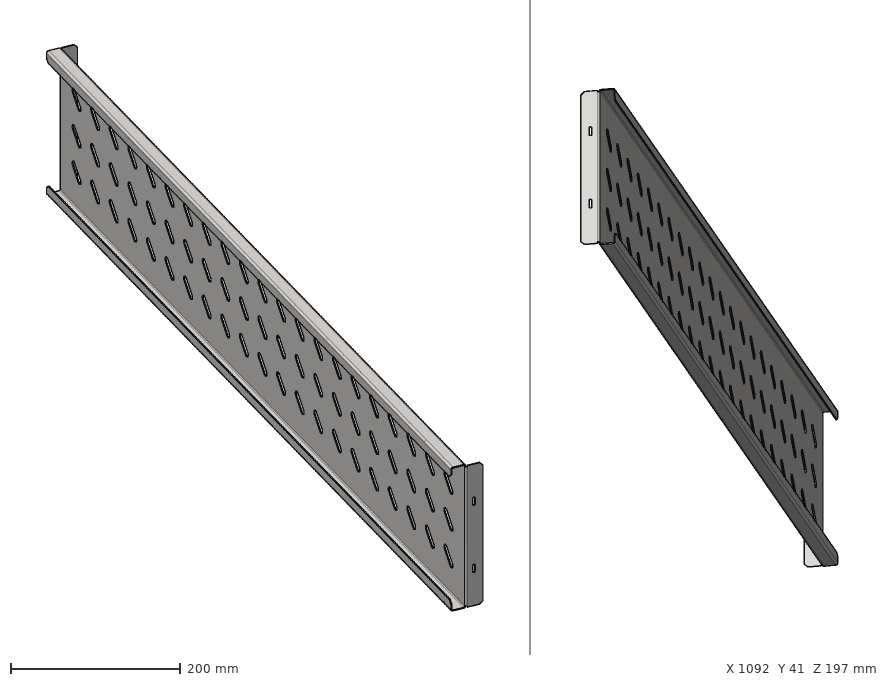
import cadquery as cq

LENGTH = 1092.0
DEPTH = 41.0
HEIGHT = 197.0

SHEET = 1.5
BEND_INSIDE = 1.3
BEND_OUTSIDE = BEND_INSIDE + SHEET

WALL_DEPTH = 20.0
LIP_HEIGHT = 14.0
LIP_MITRE = 4.0
WALL_SETBACK = 2.0

FLANGE_HEIGHT = 193.0
FLANGE_CHAMFER = 4.0
FLANGE_SLOT_LENGTH = 11.0
FLANGE_SLOT_WIDTH = 3.0
FLANGE_SLOT_SPACING = 92.0
FLANGE_SLOT_FROM_EDGE = 12.0
RELIEF_HEIGHT = 3.0

COLUMNS = 21
ROWS = 3
SLOT_SPAN = 1000.0
SLOT_LENGTH = 30.0
SLOT_WIDTH = 9.0
SLOT_ANGLE = -45

PITCH = SLOT_SPAN / (COLUMNS - 1)
HALF_LENGTH = LENGTH / 2
HALF_HEIGHT = HEIGHT / 2
FRONT = -DEPTH / 2
BACK = DEPTH / 2
WEB_BACK = FRONT + WALL_DEPTH
WEB_FRONT = WEB_BACK - SHEET
BEND_END = WEB_FRONT + BEND_OUTSIDE


def centered_box(length, y_start, y_end, height):
    """Box centred on X and Z, spanning y_start to y_end."""
    return cq.Workplane("XY").box(length, y_end - y_start, height).translate((0, (y_start + y_end) / 2, 0))


def channel():
    """Lipped C-section along X, with the lip corners cut at 45 degrees."""
    length = LENGTH - 2 * WALL_SETBACK
    body = centered_box(length, FRONT, WEB_BACK, HEIGHT).edges("|X").fillet(BEND_OUTSIDE)
    cavity = centered_box(length, FRONT + SHEET, WEB_FRONT, HEIGHT - 2 * SHEET)
    cavity = cavity.edges("|X").fillet(BEND_INSIDE)

    end = length / 2
    mitre_start = end - LIP_MITRE
    lip_edge = HALF_HEIGHT - LIP_HEIGHT
    mitre_end = lip_edge + LIP_MITRE
    opening = (
        cq.Workplane("XZ", origin=(0, FRONT + SHEET, 0))
        .polyline([
            (-end, -mitre_end),
            (-mitre_start, -lip_edge),
            (mitre_start, -lip_edge),
            (end, -mitre_end),
            (end, mitre_end),
            (mitre_start, lip_edge),
            (-mitre_start, lip_edge),
            (-end, mitre_end),
        ])
        .close()
        .extrude(SHEET)
    )
    return body.cut(cavity).cut(opening)


def web_with_end_flanges():
    """U-section along Z: the web with both end flanges, notched at the four bend corners."""
    outer = centered_box(LENGTH, WEB_FRONT, BACK, FLANGE_HEIGHT)
    outer = outer.edges("|Z and <Y").fillet(BEND_OUTSIDE)
    outer = outer.edges("|X and >Y").chamfer(FLANGE_CHAMFER)
    inner = centered_box(LENGTH - 2 * SHEET, WEB_BACK, BACK, HEIGHT)
    inner = inner.edges("|Z and <Y").fillet(BEND_INSIDE)
    section = outer.cut(inner)

    relief = centered_box(LENGTH, WEB_FRONT, BEND_END, HEIGHT)
    kept = centered_box(LENGTH, WEB_FRONT, BEND_END, HEIGHT - 2 * RELIEF_HEIGHT)
    return section.cut(relief.cut(kept))


def flange_slots():
    """Upright slots through both end flanges."""
    return (
        cq.Workplane("YZ", origin=(-HALF_LENGTH, BACK - FLANGE_SLOT_FROM_EDGE, 0))
        .rarray(11, FLANGE_SLOT_SPACING, 1, 2)
        .slot2D(FLANGE_SLOT_LENGTH, FLANGE_SLOT_WIDTH, 90)
        .extrude(LENGTH)
    )


def diagonal_slots():
    """Grid of slanted slots through the web."""
    return (
        cq.Workplane("XZ", origin=(0, WEB_BACK, 0))
        .rarray(PITCH, PITCH, COLUMNS, ROWS)
        .slot2D(SLOT_LENGTH, SLOT_WIDTH, SLOT_ANGLE)
        .extrude(SHEET)
    )


result = (
    channel()
    .union(web_with_end_flanges())
    .cut(flange_slots())
    .cut(diagonal_slots())
)